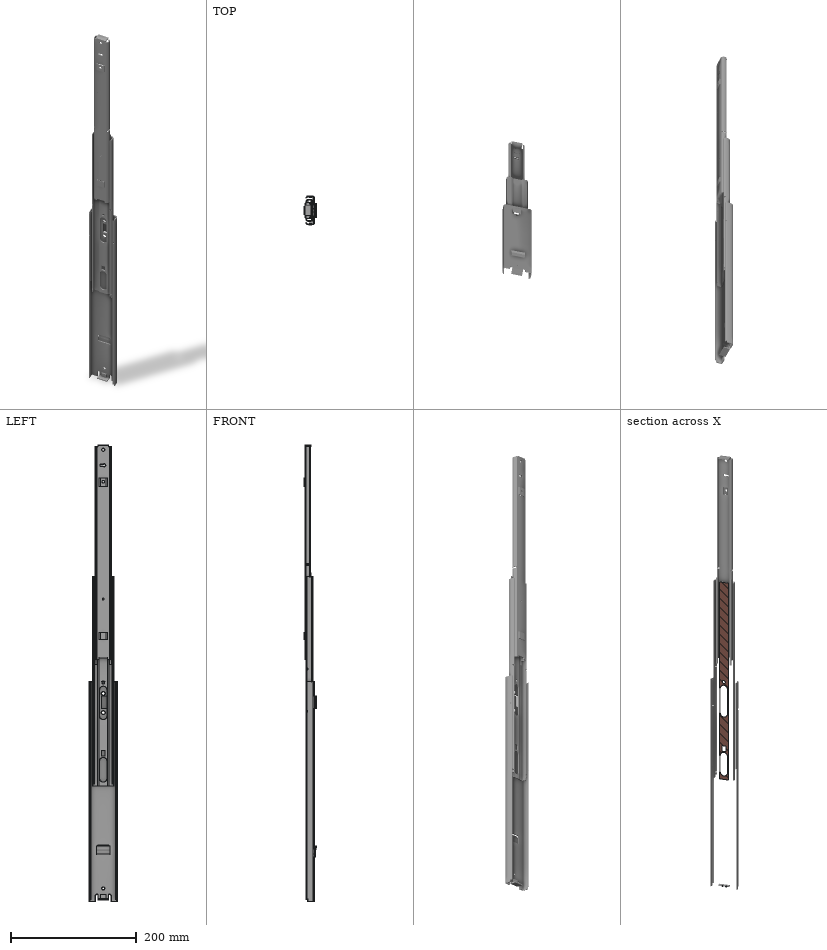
import cadquery as cq


SHEET = 1.8
OUTER_BACK, OUTER_OPEN, OUTER_HALF, OUTER_FLAT = 6.5, -6.5, 46.0 / 2, 21.0
MIDDLE_BACK, MIDDLE_OPEN, MIDDLE_HALF, MIDDLE_FLAT = 4.0, -6.5, 17.5, 15.0
INNER_BACK, INNER_OPEN, INNER_HALF, INNER_FLAT = -9.0, 0.0, 13.0, 10.0
OUTER_BOTTOM, OUTER_TOP = 0.0, 349.5
MIDDLE_BOTTOM, MIDDLE_TOP = 183.5, 516.0
INNER_BOTTOM, INNER_TOP = 384.0, 723.0
SLIDE_TOP = 725.0
HOOK_REACH = 10.0

FLANGE_SHEET = 1.1
SHOULDER_DEPTH = 1.8
SHOULDER_INSET = 0.35
LIP_DEPTH = 1.5
LIP_INSET = 2.0

RIB_HEIGHT, RIB_BASE_HALF, RIB_TOP_HALF = 1.5, 9.5, 6.5

STOP_HEIGHT, STOP_DEPTH = 2.0, 2.55
LIP_CUT_X = -4.0

CAGE_LENGTH = 145.0
INNER_CAGE_TOP, OUTER_CAGE_TOP = 522.0, 348.0


def box(x_range, y_range, z_range):
    """Axis-parallel block between the given limits."""
    sizes = [high - low for low, high in (x_range, y_range, z_range)]
    return cq.Workplane("XY").box(*sizes, centered=False).translate(
        (x_range[0], y_range[0], z_range[0])
    )


def mirrored(half):
    """The given +Y half joined to its mirror image on the -Y side."""
    return half.union(half.mirror("XZ"))


def hole(diameter, y, z):
    """Round cutter along X, long enough for every web."""
    return cq.Workplane("YZ").center(y, z).circle(diameter / 2).extrude(2 * HOOK_REACH, both=True)


def upright_slot(width, bottom, top):
    """Round-ended cutter along X, upright in Z."""
    return (
        cq.Workplane("YZ")
        .center(0, (bottom + top) / 2)
        .slot2D(top - bottom, width, 90)
        .extrude(2 * HOOK_REACH, both=True)
    )


def channel(back, opening, half_width, flat_half, bottom, top):
    """C-shaped rail whose flanges bow outward and end in a bent lip."""
    toward = 1 if opening > back else -1
    web_front = back + toward * SHEET
    shoulder_x = back + toward * SHOULDER_DEPTH
    lip_x = opening - toward * LIP_DEPTH
    bow_x = (shoulder_x + lip_x) / 2
    shoulder_y = half_width - SHOULDER_INSET
    lip_y = half_width - LIP_INSET
    inside_corner = min(flat_half - SHOULDER_INSET, shoulder_y - FLANGE_SHEET)
    half = (
        cq.Workplane("XY", origin=(0, 0, bottom))
        .moveTo(back, 0)
        .lineTo(back, flat_half)
        .lineTo(shoulder_x, shoulder_y)
        .threePointArc((bow_x, half_width), (lip_x, shoulder_y))
        .lineTo(opening, lip_y)
        .lineTo(opening, lip_y - FLANGE_SHEET)
        .lineTo(lip_x, shoulder_y - FLANGE_SHEET)
        .threePointArc((bow_x, half_width - FLANGE_SHEET), (shoulder_x, shoulder_y - FLANGE_SHEET))
        .lineTo(web_front, inside_corner)
        .lineTo(web_front, 0)
        .close()
        .extrude(top - bottom)
    )
    return mirrored(half)


def stop_slits(x_range, half_width, z):
    """Pair of narrow cutters through both flanges at height z."""
    return mirrored(box(x_range, (half_width - STOP_DEPTH, half_width), (z, z + STOP_HEIGHT)))


OUTER_WEB = (OUTER_BACK - SHEET, OUTER_BACK)
HOOK_FACE = 9.0
LOWER_HOOK_HALF = 11.0
LOWER_HOOK_Z = (71.0, 88.5)
LOWER_HOOK_BEND_Z = 82.0
LOWER_WINDOW_Z = (75.5, 89.0)
UPPER_HOOK_Z = (307.0, 326.0)
UPPER_HOOK_Y = (-9.0, 4.0)
MOUNTING_DIAMETER, MOUNTING_HEIGHTS = 6.0, (300.0, 330.5)
BOTTOM_HOLE_DIAMETER, BOTTOM_HOLE_Z = 4.0, 21.0
NOTCH_HALF, NOTCH_TOP = 12.0, 11.5
END_TAB_HALF, END_TAB_Z, END_TAB_TIP = 9.0, 3.0, -3.5
END_RIB_HALF, END_RIB_DEPTH = 4.0, 2.0
LIP_END_Z = 3.5
OUTER_STOP_Z = 301.5


def lower_hook():
    """Plate standing against the web over its window, flared outward at the top."""
    bottom, top = LOWER_HOOK_Z
    flare = HOOK_REACH - HOOK_FACE
    return (
        cq.Workplane("XZ", origin=(0, LOWER_HOOK_HALF, 0))
        .polyline([
            (OUTER_BACK, bottom),
            (HOOK_FACE, bottom),
            (HOOK_FACE, LOWER_HOOK_BEND_Z),
            (HOOK_REACH, top),
            (OUTER_BACK + flare, top),
            (OUTER_BACK, LOWER_HOOK_BEND_Z),
        ])
        .close()
        .extrude(2 * LOWER_HOOK_HALF)
    )


def upper_hook():
    """L-shaped hook: a leg bent out of the web and a foot parallel to it."""
    leg = box((OUTER_WEB[0], HOOK_REACH), (UPPER_HOOK_Y[1] - SHEET, UPPER_HOOK_Y[1]), UPPER_HOOK_Z)
    foot = box((HOOK_FACE, HOOK_REACH), UPPER_HOOK_Y, UPPER_HOOK_Z)
    return leg.union(foot)


def end_tab():
    """Tab at the bottom of the web, bent into the channel and stiffened by a rib."""
    stem = box(OUTER_WEB, (-END_TAB_HALF, END_TAB_HALF), (END_TAB_Z, NOTCH_TOP))
    tab = box((END_TAB_TIP, OUTER_BACK), (-END_TAB_HALF, END_TAB_HALF), (END_TAB_Z, END_TAB_Z + SHEET))
    rib_front = OUTER_WEB[0] - END_RIB_DEPTH
    rib = box((rib_front, OUTER_WEB[0]), (-END_RIB_HALF, END_RIB_HALF), (END_TAB_Z, NOTCH_TOP))
    return stem.union(tab).union(rib)


def make_outer():
    body = channel(OUTER_BACK, OUTER_OPEN, OUTER_HALF, OUTER_FLAT, OUTER_BOTTOM, OUTER_TOP)
    lower_window = box(OUTER_WEB, (-LOWER_HOOK_HALF, LOWER_HOOK_HALF), LOWER_WINDOW_Z)
    body = body.cut(lower_window.edges("|X and >Z").chamfer(SHEET))
    body = body.cut(box(OUTER_WEB, UPPER_HOOK_Y, UPPER_HOOK_Z))
    for z in MOUNTING_HEIGHTS:
        body = body.cut(hole(MOUNTING_DIAMETER, 0, z))
    body = body.cut(hole(BOTTOM_HOLE_DIAMETER, 0, BOTTOM_HOLE_Z))
    notch = box(OUTER_WEB, (-NOTCH_HALF, NOTCH_HALF), (OUTER_BOTTOM, NOTCH_TOP))
    body = body.cut(notch.edges("|X and >Z").chamfer(SHEET))
    body = body.cut(
        box((OUTER_OPEN, LIP_CUT_X), (-OUTER_HALF, OUTER_HALF), (OUTER_BOTTOM, LIP_END_Z))
    )
    body = body.cut(stop_slits((OUTER_OPEN, LIP_CUT_X), OUTER_HALF, OUTER_STOP_Z))
    return body.union(lower_hook()).union(upper_hook()).union(end_tab())


SLOT_WIDTH = 11.5
SLOT_SPANS = ((190.0, 229.0), (289.0, 342.0))
LATCH_WINDOW_HALF, LATCH_WINDOW_Z = 3.0, (231.0, 240.0)
MIDDLE_STOPS_Z = (191.0, 368.0)
PILOT_DIAMETER, PILOT_Z = 4.0, 348.0
MIDDLE_CORNER = 3.5


def rib_bar(base_x):
    """Trapezoidal bar along the middle channel, standing on the plane X = base_x."""
    return (
        cq.Workplane("XY", origin=(0, 0, MIDDLE_BOTTOM))
        .polyline([
            (base_x, -RIB_BASE_HALF),
            (base_x - RIB_HEIGHT, -RIB_TOP_HALF),
            (base_x - RIB_HEIGHT, RIB_TOP_HALF),
            (base_x, RIB_BASE_HALF),
        ])
        .close()
        .extrude(MIDDLE_TOP - MIDDLE_BOTTOM)
    )


def make_middle():
    body = channel(MIDDLE_BACK, MIDDLE_OPEN, MIDDLE_HALF, MIDDLE_FLAT, MIDDLE_BOTTOM, MIDDLE_TOP)
    body = body.union(rib_bar(MIDDLE_BACK - SHEET)).cut(rib_bar(MIDDLE_BACK))
    for bottom, top in SLOT_SPANS:
        body = body.cut(upright_slot(SLOT_WIDTH, bottom, top))
    body = body.cut(hole(PILOT_DIAMETER, 0, PILOT_Z))
    latch_half = (-LATCH_WINDOW_HALF, LATCH_WINDOW_HALF)
    body = body.cut(box((INNER_OPEN, MIDDLE_BACK), latch_half, LATCH_WINDOW_Z))
    for z in MIDDLE_STOPS_Z:
        body = body.cut(stop_slits((MIDDLE_OPEN, LIP_CUT_X), MIDDLE_HALF, z))
    corner = box(
        (MIDDLE_OPEN, LIP_CUT_X),
        (-MIDDLE_HALF, MIDDLE_HALF),
        (MIDDLE_BOTTOM, MIDDLE_BOTTOM + MIDDLE_CORNER),
    )
    return body.cut(corner)


INNER_WEB = (INNER_BACK, INNER_BACK + SHEET)
TOP_TAB_HALF, TOP_TAB_TIP = 9.0, 1.5
TOP_HOLE_DIAMETER, TOP_HOLE_Z = 4.0, 718.0
SMALL_HOLE_DIAMETER, SMALL_HOLE_Z = 3.0, 481.0
KEYHOLE_Z, KEYHOLE_DIAMETER, KEYHOLE_Y = 693.0, 4.0, -1.5
KEYHOLE_NECK, KEYHOLE_END = 3.0, 5.0
BRIDGE_HALF = 6.5
BRIDGE_SPANS = ((416.0, 428.0), (660.0, 673.0))
BRIDGE_MARGIN = 2.0
BRIDGE_HOLE_DIAMETER, BRIDGE_HOLE_Z = 3.5, 667.0
INNER_STOP_Z = 534.0
END_NOTCH_HALF, END_NOTCH_HEIGHT = 6.5, 3.0


def bridge(z_range):
    """Raised bridge over a window in the inner web, open at its top and bottom ends."""
    y_range = (-BRIDGE_HALF, BRIDGE_HALF)
    outside = box((-HOOK_REACH, INNER_WEB[1]), y_range, z_range)
    inside_y = (-BRIDGE_HALF + BRIDGE_MARGIN, BRIDGE_HALF - BRIDGE_MARGIN)
    crown = (HOOK_REACH + INNER_BACK) / 2
    return outside.cut(box((INNER_BACK - crown, INNER_WEB[1]), inside_y, z_range))


def make_inner():
    body = channel(INNER_BACK, INNER_OPEN, INNER_HALF, INNER_FLAT, INNER_BOTTOM, INNER_TOP)
    top_tab = box(
        (INNER_BACK, TOP_TAB_TIP), (-TOP_TAB_HALF, TOP_TAB_HALF), (INNER_TOP, SLIDE_TOP)
    )
    body = body.union(top_tab)
    body = body.cut(hole(TOP_HOLE_DIAMETER, 0, TOP_HOLE_Z))
    body = body.cut(hole(SMALL_HOLE_DIAMETER, 0, SMALL_HOLE_Z))
    body = body.cut(hole(KEYHOLE_DIAMETER, KEYHOLE_Y, KEYHOLE_Z))
    neck_z = (KEYHOLE_Z - KEYHOLE_NECK / 2, KEYHOLE_Z + KEYHOLE_NECK / 2)
    body = body.cut(box(INNER_WEB, (KEYHOLE_Y, KEYHOLE_END), neck_z))
    for span in BRIDGE_SPANS:
        body = body.cut(box(INNER_WEB, (-BRIDGE_HALF, BRIDGE_HALF), span)).union(bridge(span))
    body = body.cut(hole(BRIDGE_HOLE_DIAMETER, 0, BRIDGE_HOLE_Z))
    body = body.cut(stop_slits((INNER_BACK, INNER_OPEN), INNER_HALF, INNER_STOP_Z))
    notch_z = (INNER_BOTTOM, INNER_BOTTOM + END_NOTCH_HEIGHT)
    return body.cut(box(INNER_WEB, (-END_NOTCH_HALF, END_NOTCH_HALF), notch_z))


INNER_CAGE_X, INNER_CAGE_Y = (0.35, 1.5), (10.0, 13.0)
OUTER_CAGE_X, OUTER_CAGE_Y = (-1.5, 2.0), (20.0, 21.0)


def cage_strip(x_range, y_range, top, side):
    """Flat strip hanging down from its top end, on the +Y (1) or -Y (-1) side."""
    strip = box(x_range, y_range, (top - CAGE_LENGTH, top))
    return strip if side > 0 else strip.mirror("XZ")


def inner_cage(side):
    """Strip between the inner flange and the web of the middle channel."""
    return cage_strip(INNER_CAGE_X, INNER_CAGE_Y, INNER_CAGE_TOP, side)


def outer_cage(side):
    """Strip between the middle and outer flanges."""
    return cage_strip(OUTER_CAGE_X, OUTER_CAGE_Y, OUTER_CAGE_TOP, side)


outer = make_outer()
middle = make_middle()
inner = make_inner()
cages = []
for side in (1, -1):
    cages.append(inner_cage(side).val())
    cages.append(outer_cage(side).val())

result = cq.Compound.makeCompound([outer.val(), middle.val(), inner.val(), *cages])